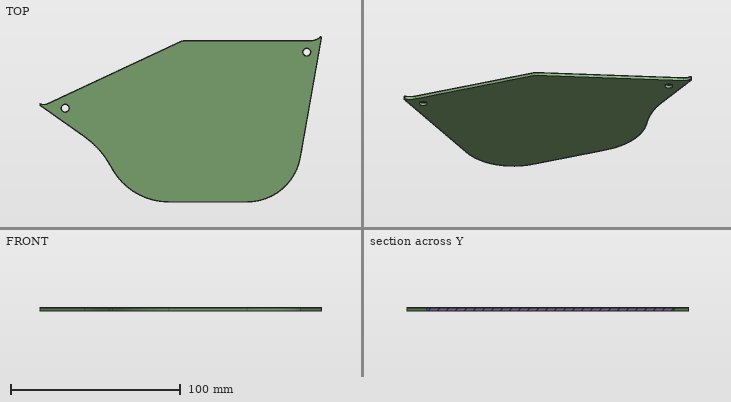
import cadquery as cq
import math

length = 165.79
width = 97.27
thickness = 2.0

top_edge_y = 95.0
upper_slope = 25.05
right_slope = 80.0
apex_x = 83.95

left_tip_top_y = 57.9
left_tip_bottom_y = 56.92
left_flare_x = 4.6

right_tip_width = 0.6
right_tip_drop = 0.3
right_flare_x = 159.3

waist_corner = (35.2, 32.1)
lower_left_corner_x = 53.87
waist_radius = 49.5
lower_left_radius = 38.2
lower_right_radius = 31.85
apex_radius = 8.0

hole_diameter = 4.5
left_hole = (14.9, 55.2)
right_hole = (157.05, 88.2)

apex = (apex_x, top_edge_y)
right_tip_low = (length, width - right_tip_drop)
right_tip_high = (length - right_tip_width, width)
lower_left_corner = (lower_left_corner_x, 0)
lower_right_corner = (length - right_tip_low[1] / math.tan(math.radians(right_slope)), 0)
left_flare_start = (
    left_flare_x,
    top_edge_y - (apex_x - left_flare_x) * math.tan(math.radians(upper_slope)),
)


def make_sharp_plate():
    """Plate with sharp main corners and a concave tangent flare leading to each tip."""
    return (
        cq.Workplane("XY")
        .moveTo(*apex)
        .lineTo(right_flare_x, top_edge_y)
        .tangentArcPoint(right_tip_high, relative=False)
        .lineTo(*right_tip_low)
        .lineTo(*lower_right_corner)
        .lineTo(*lower_left_corner)
        .lineTo(*waist_corner)
        .lineTo(0, left_tip_bottom_y)
        .lineTo(0, left_tip_top_y)
        .radiusArc(left_flare_start, -left_flare_radius())
        .close()
        .extrude(thickness)
    )


def left_flare_radius():
    """Radius of the arc from the left tip that ends tangent to the upper edge."""
    rise = left_flare_start[1] - left_tip_top_y
    chord = math.hypot(left_flare_x, rise)
    half_turn = math.radians(upper_slope) - math.atan2(rise, left_flare_x)
    return chord / (2 * math.sin(half_turn))


def round_corner(plate, corner, radius):
    """Round the upright edge that stands on the given corner."""
    nearest = cq.selectors.NearestToPointSelector((*corner, thickness / 2))
    return plate.edges("|Z").edges(nearest).fillet(radius)


def cut_holes(plate):
    """Cut the two mounting holes through the plate."""
    holes = (
        cq.Workplane("XY")
        .pushPoints([left_hole, right_hole])
        .circle(hole_diameter / 2)
        .extrude(thickness)
    )
    return plate.cut(holes)


rounded_corners = [
    (waist_corner, waist_radius),
    (lower_left_corner, lower_left_radius),
    (lower_right_corner, lower_right_radius),
    (apex, apex_radius),
]

plate = make_sharp_plate()
for corner, radius in rounded_corners:
    plate = round_corner(plate, corner, radius)
result = cut_holes(plate)